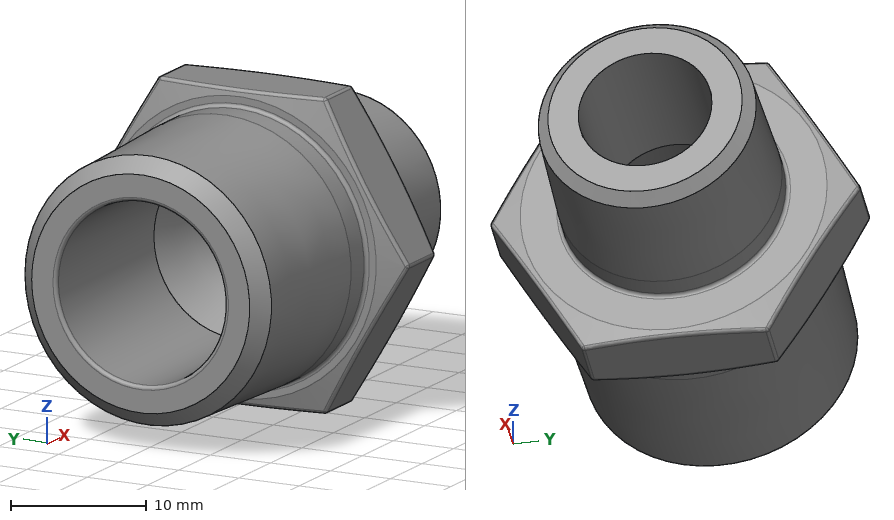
import cadquery as cq
import math

total_length = 33.0

taper_ratio = 1 / 16
large_diameter = 21.25
large_taper_length = 13.15
large_end_chamfer = 1.2
small_diameter = 16.9
small_taper_length = 10.13
small_end_chamfer = 0.9
collar_fillet = 0.3

hex_start = 15.48
hex_width = 5.5
across_flats = 24.02
side_face_diameter = 22.97
bevel_angle = 15
edge_round = 0.3

large_bore_diameter = 14.0
small_bore_diameter = 10.0
mouth_round = 0.3

hex_end = hex_start + hex_width
hex_middle = (hex_start + hex_end) / 2
across_corners = across_flats / math.cos(math.radians(30))


def revolve_about_x(outline):
    return outline.close().revolve(360, (0, 0, 0), (1, 0, 0))


def make_end(diameter, taper_length, end_chamfer, overall_length):
    """Tapered end with its chamfered face at X = 0, followed by a straight collar."""
    collar_radius = diameter / 2
    tip_radius = collar_radius - (taper_length - end_chamfer) * taper_ratio / 2
    outline = (
        cq.Workplane("XY")
        .lineTo(0, tip_radius - end_chamfer)
        .lineTo(end_chamfer, tip_radius)
        .lineTo(taper_length, collar_radius)
        .lineTo(overall_length, collar_radius)
        .lineTo(overall_length, 0)
    )
    return revolve_about_x(outline)


def make_bevel_envelope():
    """Solid of revolution whose two shallow cones bevel the corners of the hexagon."""
    face_radius = side_face_diameter / 2
    rim_radius = across_corners / 2
    bevel_depth = (rim_radius - face_radius) * math.tan(math.radians(bevel_angle))
    outline = (
        cq.Workplane("XY")
        .moveTo(hex_start, 0)
        .lineTo(hex_start, face_radius)
        .lineTo(hex_start + bevel_depth, rim_radius)
        .lineTo(hex_end - bevel_depth, rim_radius)
        .lineTo(hex_end, face_radius)
        .lineTo(hex_end, 0)
    )
    return revolve_about_x(outline)


def make_hexagon():
    """Hexagon with rounded corners, bevelled sides and rounded edges along its flats."""
    prism = (
        cq.Workplane("YZ", origin=(hex_start, 0, 0))
        .polygon(6, across_corners)
        .extrude(hex_width)
        .edges("|X")
        .fillet(edge_round)
    )
    bevelled = prism.intersect(make_bevel_envelope())
    return bevelled.faces("#X").edges("not(|X)").fillet(edge_round)


def make_collar_fillet(diameter, face_x, outward):
    """Concave ring between a collar and the hexagon side at face_x; outward is -1 or +1 along X."""
    collar_radius = diameter / 2
    outline = (
        cq.Workplane("XY")
        .moveTo(face_x, collar_radius)
        .lineTo(face_x, collar_radius + collar_fillet)
        .radiusArc((face_x + outward * collar_fillet, collar_radius), -outward * collar_fillet)
    )
    return revolve_about_x(outline)


def make_bore():
    """Stepped through bore with a rounded mouth at the large end."""
    wide_radius = large_bore_diameter / 2
    narrow_radius = small_bore_diameter / 2
    outline = (
        cq.Workplane("XY")
        .lineTo(0, wide_radius + mouth_round)
        .radiusArc((mouth_round, wide_radius), -mouth_round)
        .lineTo(hex_start, wide_radius)
        .lineTo(hex_end, narrow_radius)
        .lineTo(total_length, narrow_radius)
        .lineTo(total_length, 0)
    )
    return revolve_about_x(outline)


large_end = make_end(large_diameter, large_taper_length, large_end_chamfer, hex_middle)
small_end = make_end(small_diameter, small_taper_length, small_end_chamfer, total_length - hex_middle)
small_end = small_end.mirror("YZ").translate((total_length, 0, 0))

body = make_hexagon().union(large_end).union(small_end)
body = body.union(make_collar_fillet(large_diameter, hex_start, -1))
body = body.union(make_collar_fillet(small_diameter, hex_end, 1))

result = body.cut(make_bore())